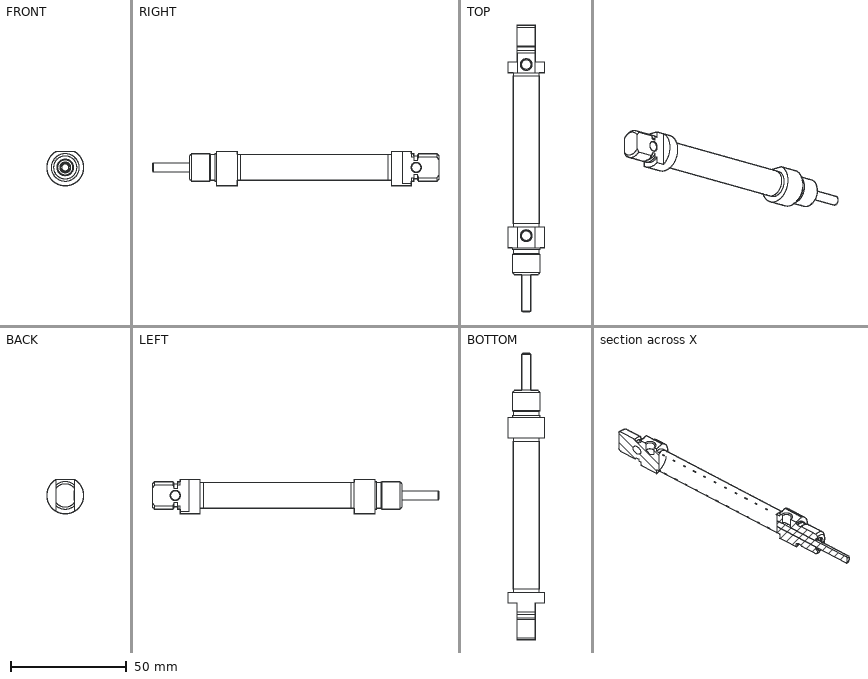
import cadquery as cq
import math


rod_diameter = 4.0
rod_reach = 16.0
rod_chamfer = 0.5

barrel_diameter = 11.27
barrel_bore = 10.0

thread_diameter = 12.0
cap_diameter = 16.0
cap_flat_height = 7.0
neck_diameter = 11.2
barrel_neck_length = 1.45

front_thread_length = 9.2
front_thread_chamfer = 1.0
thread_runout = (thread_diameter - neck_diameter) / 2
relief_length = 1.8
front_collar_length = 0.7
front_cap_length = 9.05
wiper_recess_diameter = 6.5
wiper_recess_depth = 1.0
wiper_mouth_diameter = 7.2
wiper_seat_diameter = 4.7
wiper_seat_depth = 0.4

eye_length = 8.9
eye_chamfer = 0.95
eye_width = 8.0
eye_flat_length = 15.9
groove_diameter = 10.0
groove_length = 2.0
eye_runout = 0.55
rear_cap_start = 12.0
rear_cap_end = 20.6
pivot_hole_diameter = 4.0
pivot_mouth_diameter = 4.43
pivot_hole_from_end = 9.9

port_diameter = 4.13
port_mouth_diameter = 5.1
front_port_from_cap = 5.3
rear_port_from_end = 17.0
rear_port_depth = 4.0
drill_tip_angle = 118.0

overall_length = 124.0
rear_end = overall_length - rod_reach
relief_start = front_thread_length
relief_end = relief_start + relief_length
front_cap_start = relief_end + front_collar_length
front_cap_end = front_cap_start + front_cap_length
barrel_start = front_cap_end + barrel_neck_length
rear_cap_face = rear_end - rear_cap_end
barrel_end = rear_cap_face - barrel_neck_length


def turned(profile):
    """Revolve a closed (radius, y) profile around the Y axis."""
    return cq.Workplane("XY").polyline(profile).close().revolve(360, (0, 0, 0), (0, 1, 0))


def cylinder_y(diameter, start, end):
    """Round bar on the Y axis."""
    radius = diameter / 2
    return turned([(0, start), (radius, start), (radius, end), (0, end)])


def cut_top_flat(cap):
    """Mill the port face across the top of a cap."""
    cutter = cq.Workplane("XY").box(
        2 * cap_diameter, 2 * overall_length, cap_diameter, centered=(True, True, False)
    )
    return cap.cut(cutter.translate((0, 0, cap_flat_height)))


def port_cutter(y, bottom_height, tip_height):
    """Vertical port with a countersunk mouth; a zero tip height gives a flat bottom."""
    radius = port_diameter / 2
    mouth_radius = port_mouth_diameter / 2
    mouth_depth = mouth_radius - radius
    profile = [
        (0, bottom_height - tip_height),
        (radius, bottom_height),
        (radius, cap_flat_height - mouth_depth),
        (mouth_radius, cap_flat_height),
        (0, cap_flat_height),
    ]
    port = cq.Workplane("XZ").polyline(profile).close().revolve(360, (0, 0, 0), (0, 1, 0))
    return port.translate((0, y, 0))


def make_piston_rod():
    radius = rod_diameter / 2
    tip_radius = radius - rod_chamfer
    return turned([
        (0, -rod_reach),
        (tip_radius, -rod_reach),
        (radius, -rod_reach + rod_chamfer),
        (radius, barrel_start),
        (0, barrel_start),
    ])


def make_barrel():
    tube = cylinder_y(barrel_diameter, barrel_start, barrel_end)
    return tube.cut(cylinder_y(barrel_bore, barrel_start, barrel_end))


def make_wiper_recess():
    """Chamfered round pocket with a funnel narrowing from its floor to the rod."""
    mouth_radius = wiper_mouth_diameter / 2
    recess_radius = wiper_recess_diameter / 2
    return turned([
        (0, 0),
        (mouth_radius, 0),
        (recess_radius, mouth_radius - recess_radius),
        (recess_radius, wiper_recess_depth),
        (wiper_seat_diameter / 2, wiper_recess_depth),
        (rod_diameter / 2, wiper_recess_depth + wiper_seat_depth),
        (0, wiper_recess_depth + wiper_seat_depth),
    ])


def make_front_cap():
    thread_radius = thread_diameter / 2
    neck_radius = neck_diameter / 2
    cap_radius = cap_diameter / 2
    cap = turned([
        (0, 0),
        (thread_radius - front_thread_chamfer, 0),
        (thread_radius, front_thread_chamfer),
        (thread_radius, relief_start - thread_runout),
        (neck_radius, relief_start),
        (neck_radius, relief_end),
        (thread_radius, relief_end),
        (thread_radius, front_cap_start),
        (cap_radius, front_cap_start),
        (cap_radius, front_cap_end),
        (neck_radius, front_cap_end),
        (neck_radius, barrel_start),
        (0, barrel_start),
    ])
    cap = cut_top_flat(cap)
    cap = cap.cut(cylinder_y(rod_diameter, 0, barrel_start))
    cap = cap.cut(make_wiper_recess())
    return cap.cut(port_cutter(front_cap_start + front_port_from_cap, 0, 0))


def make_pivot_hole():
    """Hole across the clevis eye, lightly countersunk at both flats."""
    radius = pivot_hole_diameter / 2
    mouth_radius = pivot_mouth_diameter / 2
    half_width = eye_width / 2
    inner_half_width = half_width - (mouth_radius - radius)
    hole = cq.Workplane("XY").polyline([
        (-half_width, 0),
        (-half_width, mouth_radius),
        (-inner_half_width, radius),
        (inner_half_width, radius),
        (half_width, mouth_radius),
        (half_width, 0),
    ]).close().revolve(360, (0, 0, 0), (1, 0, 0))
    return hole.translate((0, rear_end - pivot_hole_from_end, 0))


def make_rear_cap():
    thread_radius = thread_diameter / 2
    groove_radius = groove_diameter / 2
    neck_radius = neck_diameter / 2
    cap_radius = cap_diameter / 2
    groove_end = rear_end - eye_length
    groove_start = groove_end - groove_length
    cap = turned([
        (0, barrel_end),
        (neck_radius, barrel_end),
        (neck_radius, rear_cap_face),
        (cap_radius, rear_cap_face),
        (cap_radius, rear_end - rear_cap_start),
        (thread_radius, rear_end - rear_cap_start),
        (thread_radius, groove_start),
        (groove_radius, groove_start),
        (groove_radius, groove_end - eye_runout),
        (thread_radius, groove_end),
        (thread_radius, rear_end - eye_chamfer),
        (thread_radius - eye_chamfer, rear_end),
        (0, rear_end),
    ])
    cap = cut_top_flat(cap)
    for side in (-1, 1):
        flat = cq.Workplane("XY").box(cap_diameter, eye_flat_length, 2 * cap_diameter)
        x = side * (eye_width + cap_diameter) / 2
        cap = cap.cut(flat.translate((x, rear_end - eye_flat_length / 2, 0)))
    cap = cap.cut(make_pivot_hole())
    tip_height = port_diameter / 2 / math.tan(math.radians(drill_tip_angle / 2))
    port_bottom = cap_flat_height - rear_port_depth
    return cap.cut(port_cutter(rear_end - rear_port_from_end, port_bottom, tip_height))


piston_rod = make_piston_rod()
barrel = make_barrel()
front_cap = make_front_cap()
rear_cap = make_rear_cap()

result = cq.Compound.makeCompound(
    [piston_rod.val(), barrel.val(), front_cap.val(), rear_cap.val()]
)